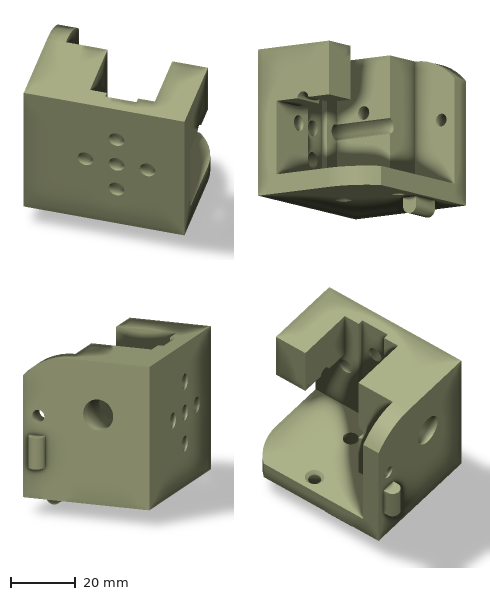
import cadquery as cq
import math

overall_width = 55.8
body_width = 51.7
body_depth = 42.0
body_height = 46.0
plate_thickness = 6.0
corner_radius = 20.0

block_depth = 27.0
front_wall = 6.9
slot_width = 20.8
slot_center_x = 29.85
groove_width = 10.0
groove_floor_y = 5.1
right_arm_height = 16.9

mount_diameter = 5
mount_spacing = 10.0
mount_center_z = 23.8
floor_hole_x = 30.1
bore_y = 17.0
bore_z = body_height - 17.1
bore_diameter = 10.0
bore_depth = 13.4
bore_pilot_diameter = 4.3
screw_diameter = 4.0
countersink_diameter = 6.0
countersink_angle = 90
screw_from_back = 5
floor_screw_x = 28.9
wall_screw_z = 26.55

tab_thickness = 5
tab_length = 10.0
tab_y = body_depth - screw_from_back
side_tab_reach = overall_width - body_width
side_tab_bottom = 10.5
bottom_tab_reach = 5.15
bottom_tab_left = 12.85


def box(x_start, x_end, y_start, y_end, z_start, z_end):
    """Box between the given limits."""
    size = (x_end - x_start, y_end - y_start, z_end - z_start)
    return cq.Workplane("XY").box(*size, centered=False).translate((x_start, y_start, z_start))


def rounded_plate(plane, width):
    """Plate whose back far corner is cut by an arc tangent to its outer edge."""
    run = body_depth - block_depth

    def arc_point(distance):
        drop = corner_radius - math.sqrt(corner_radius**2 - distance**2)
        return (width - drop, block_depth + distance)

    outline = cq.Workplane(plane).lineTo(width, 0).lineTo(width, block_depth)
    outline = outline.threePointArc(arc_point(run / 2), arc_point(run))
    return outline.lineTo(0, body_depth).close().extrude(plate_thickness)


def tab(reach):
    """Tab with a fully rounded tip, pointing along -X and extruded up from z = 0."""
    half = tab_thickness / 2
    straight_end = half - reach
    outline = cq.Workplane("XY").moveTo(0, -half).lineTo(straight_end, -half)
    outline = outline.threePointArc((-reach, 0), (straight_end, half))
    return outline.lineTo(0, half).close().extrude(tab_length)


def x_cylinder(diameter, y, z, length):
    """Cylinder running along +X from the left face."""
    return cq.Workplane("YZ").center(y, z).circle(diameter / 2).extrude(length)


floor = rounded_plate("XY", body_width)
wall_plane = cq.Plane(origin=(0, 0, 0), xDir=(0, 0, 1), normal=(1, 0, 0))
wall = rounded_plate(wall_plane, body_height).mirror("XZ")
block = box(0, body_width, 0, block_depth, 0, body_height)

slot_left = slot_center_x - slot_width / 2
slot_right = slot_center_x + slot_width / 2
groove_left = slot_center_x - groove_width / 2
groove_right = slot_center_x + groove_width / 2
block = block.cut(box(slot_left, slot_right, front_wall, block_depth, plate_thickness, body_height))
block = block.cut(box(groove_left, groove_right, groove_floor_y, front_wall, plate_thickness, body_height))

arm_bottom = body_height - right_arm_height
block = block.cut(box(slot_right, body_width, front_wall, block_depth, plate_thickness, arm_bottom))
body = floor.union(wall).union(block)

for step_x, step_z in [(0, 0), (-1, 0), (1, 0), (0, -1), (0, 1)]:
    hole_x = slot_center_x + step_x * mount_spacing
    hole_z = mount_center_z + step_z * mount_spacing
    hole = cq.Workplane("XZ").center(hole_x, hole_z).circle(mount_diameter / 2).extrude(-block_depth)
    body = body.cut(hole)

body = body.cut(x_cylinder(bore_diameter, bore_y, bore_z, bore_depth))
body = body.cut(x_cylinder(bore_pilot_diameter, bore_y, bore_z, body_width))

floor_top = cq.Workplane("XY", origin=(0, 0, plate_thickness))
body = body.cut(floor_top.center(floor_hole_x, bore_y).circle(mount_diameter / 2).extrude(-plate_thickness))
body = body.copyWorkplane(floor_top).center(floor_screw_x, tab_y).cskHole(
    screw_diameter, countersink_diameter, countersink_angle, depth=plate_thickness
)

body = body.cut(x_cylinder(screw_diameter, tab_y, wall_screw_z, plate_thickness))

side_tab = tab(side_tab_reach).translate((0, tab_y, side_tab_bottom))
bottom_tab = tab(bottom_tab_reach).rotate((0, 0, 0), (0, 1, 0), -90)
bottom_tab = bottom_tab.translate((bottom_tab_left + tab_length, tab_y, 0))
result = body.union(side_tab).union(bottom_tab)